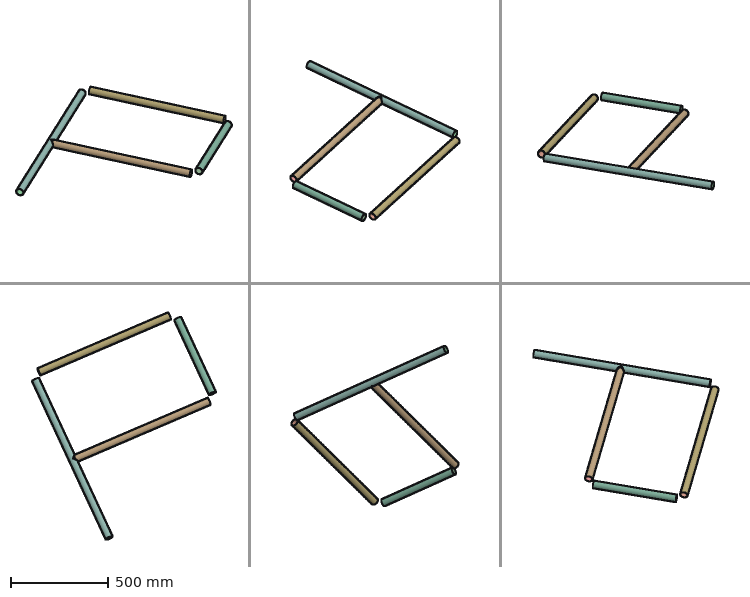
import cadquery as cq

frame_width = 842.0
frame_height = 980.0
tube_diameter = 42.0
wall = 3.0
corner_gap = 11.0
lower_rail_y = 459.0

outer_radius = tube_diameter / 2
inner_radius = outer_radius - wall
post_x = outer_radius
stile_x = frame_width - outer_radius
upper_rail_y = frame_height - outer_radius
corner_setback = outer_radius + corner_gap
post_top = upper_rail_y - corner_setback
rail_right_end = stile_x - corner_setback


def round_bar(start, end, radius):
    """Solid cylinder between two points (x, y) in the plane Z = 0."""
    axis = cq.Vector(*end) - cq.Vector(*start)
    return cq.Workplane(cq.Solid.makeCylinder(radius, axis.Length, cq.Vector(*start), axis))


def tube(start, end):
    """Straight round tube with square-cut ends."""
    return round_bar(start, end, outer_radius).cut(round_bar(start, end, inner_radius))


post_start = (post_x, 0)
post_end = (post_x, post_top)
post = tube(post_start, post_end)

upper_rail = tube((post_x + corner_setback, upper_rail_y), (rail_right_end, upper_rail_y))

stile = tube((stile_x, lower_rail_y + corner_setback), (stile_x, post_top))

lower_rail = tube((post_x, lower_rail_y), (rail_right_end, lower_rail_y))
lower_rail = lower_rail.cut(round_bar(post_start, post_end, outer_radius))

bodies = [post, upper_rail, stile, lower_rail]
result = cq.Compound.makeCompound([body.solids().val() for body in bodies])